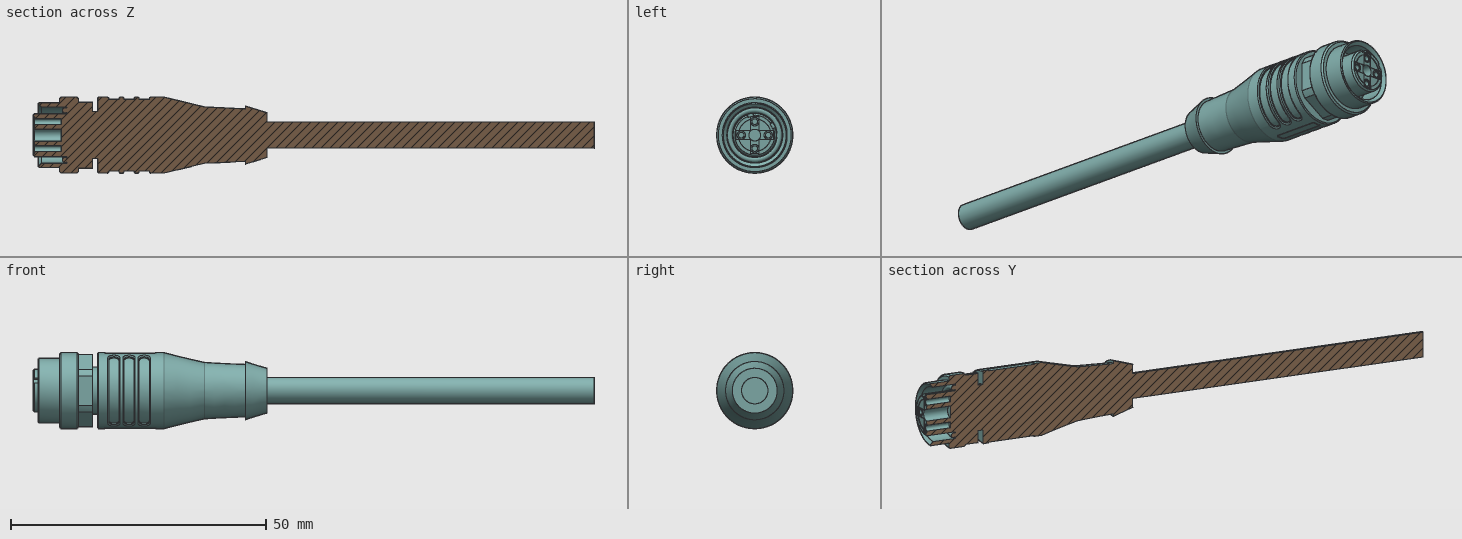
import cadquery as cq
import math


TOTAL_LENGTH = 109.9
CABLE_DIAMETER = 5.2

INSERT_DIAMETER = 8.5
INSERT_CHAMFER = 0.3
CENTRE_HOLE_DIAMETER = 2.3
CONTACT_HOLE_DIAMETER = 1.1
CONTACT_MOUTH_DIAMETER = 1.6
CONTACT_MOUTH_DEPTH = 0.1
CONTACT_RADIUS = 2.6
CONTACT_COUNT = 4
HOLE_DEPTH = 5.5
FACE_RECESS_DIAMETER = 6.4
FACE_RECESS_DEPTH = 0.1
CROSS_WIDTH = 1.8
CROSS_LENGTH = 7.3
CROSS_DEPTH = 0.2
KEYWAY_WIDTH = 1.1
KEYWAY_DEPTH = 0.5
KEYWAY_ANGLES = (28.0, 102.0)

NUT_START = 1.0
NUT_DIAMETER = 12.7
NUT_CHAMFER = 0.2
NUT_MOUTH_DIAMETER = 12.3
NUT_BORE_DIAMETER = 11.0
NUT_BORE_END = 6.6
COLLAR_START = 5.2
COLLAR_END = 8.9
COLLAR_DIAMETER = 15.0
COLLAR_CHAMFER = 0.3
HEX_END = 11.6
HEX_ACROSS_FLATS = 13.0
HEX_CORNER_DIAMETER = 14.2
NECK_DIAMETER = 9.3

RING_SECTION_DIAMETER = 1.1
RING_SEAT_GAP = 0.3

BODY_START = 12.6
BODY_DIAMETER = COLLAR_DIAMETER
BODY_CHAMFER = 0.2
TAPER_START = 25.6
SLEEVE_START = 33.5
SLEEVE_START_DIAMETER = 11.1
FLANGE_START = 41.5
SLEEVE_END_DIAMETER = 10.3
FLANGE_DIAMETER = 11.4
FLANGE_END = 45.8
FLANGE_END_DIAMETER = 8.8

GROOVE_COUNT = 3
GROOVE_FIRST_CENTRE = 15.8
GROOVE_PITCH = 3.0
GROOVE_WIDTH = 2.0
GROOVE_DEPTH = 0.4
GROOVE_CHAMFER = 0.2
GROOVE_INNER_END = 3.0

PANEL_START = 14.0
PANEL_LENGTH = 10.1
PANEL_WIDTH = 2.0
PANEL_DEPTH = 0.16
PANEL_CORNER = 0.3


def cylinder(start, end, diameter):
    return cq.Workplane("YZ").workplane(offset=start).circle(diameter / 2).extrude(end - start)


def revolve_profile(points):
    profile = cq.Workplane("XY").polyline(points).close()
    return profile.revolve(360, (0, 0, 0), (1, 0, 0))


def make_nut():
    radius = NUT_DIAMETER / 2
    collar_radius = COLLAR_DIAMETER / 2
    nut = revolve_profile([
        (NUT_START, 0),
        (NUT_START, radius - NUT_CHAMFER),
        (NUT_START + NUT_CHAMFER, radius),
        (COLLAR_START, radius),
        (COLLAR_START, collar_radius - COLLAR_CHAMFER),
        (COLLAR_START + COLLAR_CHAMFER, collar_radius),
        (COLLAR_END - COLLAR_CHAMFER, collar_radius),
        (COLLAR_END, collar_radius - COLLAR_CHAMFER),
        (COLLAR_END, 0),
    ])
    hexagon = (
        cq.Workplane("YZ")
        .workplane(offset=COLLAR_END)
        .transformed(rotate=(0, 0, 30))
        .polygon(6, HEX_ACROSS_FLATS / math.cos(math.radians(30)))
        .extrude(HEX_END - COLLAR_END)
    )
    hexagon = hexagon.intersect(cylinder(COLLAR_END, HEX_END, HEX_CORNER_DIAMETER))
    nut = nut.union(hexagon).union(cylinder(HEX_END, BODY_START, NECK_DIAMETER))
    bore_radius = NUT_BORE_DIAMETER / 2
    mouth_radius = NUT_MOUTH_DIAMETER / 2
    bore = revolve_profile([
        (NUT_START, 0),
        (NUT_START, mouth_radius),
        (NUT_START + mouth_radius - bore_radius, bore_radius),
        (NUT_BORE_END, bore_radius),
        (NUT_BORE_END, 0),
    ])
    return nut.cut(bore)


def make_insert():
    insert = cylinder(0, NUT_BORE_END, INSERT_DIAMETER).faces("<X").chamfer(INSERT_CHAMFER)
    insert = insert.cut(cylinder(0, HOLE_DEPTH, CENTRE_HOLE_DIAMETER))
    insert = insert.cut(cylinder(0, FACE_RECESS_DEPTH, FACE_RECESS_DIAMETER))
    for width, height in ((CROSS_LENGTH, CROSS_WIDTH), (CROSS_WIDTH, CROSS_LENGTH)):
        insert = insert.cut(cq.Workplane("YZ").rect(width, height).extrude(CROSS_DEPTH))
    mouth = cylinder(0, CROSS_DEPTH + CONTACT_MOUTH_DEPTH, CONTACT_MOUTH_DIAMETER)
    contact = cylinder(0, HOLE_DEPTH, CONTACT_HOLE_DIAMETER).union(mouth)
    contact = contact.translate((0, CONTACT_RADIUS, 0))
    for index in range(CONTACT_COUNT):
        insert = insert.cut(contact.rotate((0, 0, 0), (1, 0, 0), index * 360 / CONTACT_COUNT))
    keyway = (
        cq.Workplane("XY")
        .box(NUT_BORE_END, 2 * KEYWAY_DEPTH, KEYWAY_WIDTH, centered=(False, True, True))
        .translate((0, -INSERT_DIAMETER / 2, 0))
    )
    for angle in KEYWAY_ANGLES:
        insert = insert.cut(keyway.rotate((0, 0, 0), (1, 0, 0), -angle))
    return insert


def make_ring():
    ring_radius = (INSERT_DIAMETER + NUT_BORE_DIAMETER) / 4
    return (
        cq.Workplane("XY")
        .center(NUT_BORE_END - RING_SEAT_GAP, ring_radius)
        .circle(RING_SECTION_DIAMETER / 2)
        .revolve(360, (0, -ring_radius, 0), (1, -ring_radius, 0))
    )


def make_body():
    radius = BODY_DIAMETER / 2
    return revolve_profile([
        (BODY_START, 0),
        (BODY_START, radius - BODY_CHAMFER),
        (BODY_START + BODY_CHAMFER, radius),
        (TAPER_START, radius),
        (SLEEVE_START, SLEEVE_START_DIAMETER / 2),
        (FLANGE_START, SLEEVE_END_DIAMETER / 2),
        (FLANGE_START, FLANGE_DIAMETER / 2),
        (FLANGE_END, FLANGE_END_DIAMETER / 2),
        (FLANGE_END, 0),
    ])


def is_groove_rim(edge):
    middle = edge.positionAt(0.5)
    on_surface = abs(math.hypot(middle.y, middle.z) - BODY_DIAMETER / 2) < GROOVE_DEPTH / 2
    return on_surface and BODY_START + GROOVE_WIDTH / 2 < middle.x < TAPER_START - GROOVE_WIDTH / 2


def cut_grooves(body):
    floor = cylinder(BODY_START, TAPER_START, BODY_DIAMETER - 2 * GROOVE_DEPTH)
    length = BODY_DIAMETER
    for side in (-1, 1):
        for index in range(GROOVE_COUNT):
            groove = (
                cq.Workplane("XY")
                .center(GROOVE_FIRST_CENTRE + index * GROOVE_PITCH, side * (GROOVE_INNER_END + length / 2))
                .slot2D(length, GROOVE_WIDTH, 90)
                .extrude(BODY_DIAMETER / 2, both=True)
            )
            body = body.cut(groove.cut(floor))
    return body.edges().filter(is_groove_rim).chamfer(GROOVE_CHAMFER)


def cut_panels(body):
    panel = (
        cq.Workplane("XY")
        .workplane(offset=BODY_DIAMETER / 2 - PANEL_DEPTH)
        .center(PANEL_START + PANEL_LENGTH / 2, 0)
        .rect(PANEL_LENGTH, PANEL_WIDTH)
        .extrude(2 * PANEL_DEPTH)
        .edges("|Z")
        .fillet(PANEL_CORNER)
    )
    return body.cut(panel).cut(panel.mirror("XY"))


body = cut_panels(cut_grooves(make_body()))
cable = cylinder(FLANGE_END, TOTAL_LENGTH, CABLE_DIAMETER)
result = make_nut().union(make_insert()).union(make_ring()).union(body).union(cable)